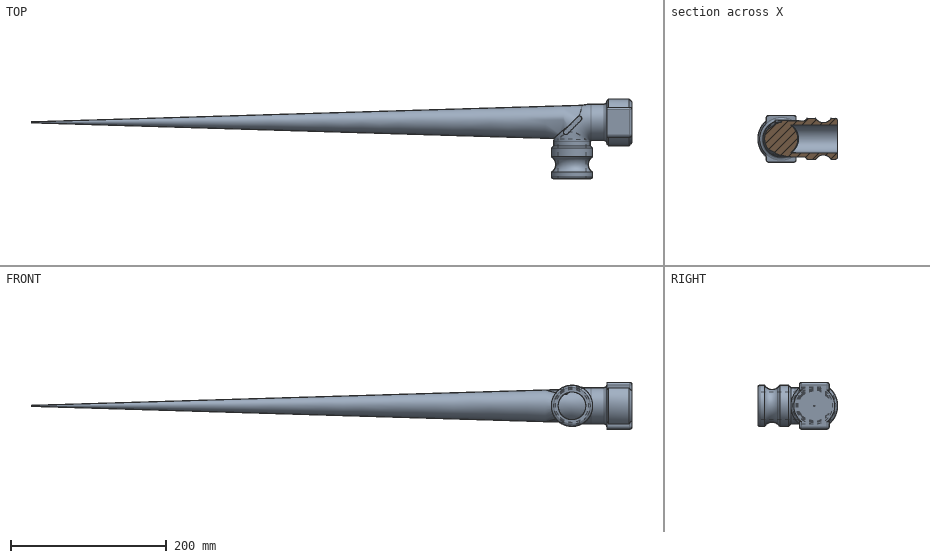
import cadquery as cq

LENGTH = 771.0
TIP_X = -LENGTH / 2
END_X = LENGTH / 2

SPIKE_TIP_DIA = 1.5
SPIKE_BASE_DIA = 45.0
SPIKE_END_X = 331.5

BRANCH_X = 308.0
PIPE_DIA = 47.0
BEND_RADIUS = 25.0

BRANCH_END_Y = -72.5
FLANGE_DIA = 53.0
NECK_DIA = 42.5
BORE_DIA = 35.5
COLLAR_TOP_Y = -30.0
COLLAR_BOTTOM_Y = -47.0
COLLAR_CHAMFER = 3.0
RIM_FILLET = 3.0
RIM_TOP_Y = -64.0

CAP_X = 353.0
CAP_DIA = 60.0
CAP_NECK_FILLET = 4.0
CAP_CHAMFER = 4.0
CAP_REAR_CHAMFER = 2.0
PAD_WIDTH = 38.5
PAD_HEIGHT = 60.0
PAD_FILLET = 3.0

RIB_LENGTH = 31.0
RIB_WIDTH = 6.0
RIB_TOP_Z = 24.0
RIB_CENTER = (309.0, -4.0)
RIB_ANGLE = 45


def make_spike():
    """Solid taper from the tip into the far side of the bend."""
    outline = [
        (TIP_X, 0),
        (TIP_X, SPIKE_TIP_DIA / 2),
        (SPIKE_END_X, SPIKE_BASE_DIA / 2),
        (SPIKE_END_X, 0),
    ]
    return cq.Workplane("XY").polyline(outline).close().revolve(360, (0, 0, 0), (1, 0, 0))


def make_elbow():
    """Quarter bend from the branch to the straight pipe, plus the pipe up to the cap."""
    bend_end_x = BRANCH_X + BEND_RADIUS
    bend = (
        cq.Workplane("XZ", origin=(BRANCH_X, -BEND_RADIUS, 0))
        .circle(PIPE_DIA / 2)
        .revolve(90, (BEND_RADIUS, 0, 0), (BEND_RADIUS, -1, 0))
    )
    pipe = cq.Workplane("YZ", origin=(bend_end_x, 0, 0)).circle(PIPE_DIA / 2).extrude(CAP_X - bend_end_x)
    return bend.union(pipe)


def make_branch():
    """Turned coupling with a collar, a concave neck and an end rim."""
    flange_r = FLANGE_DIA / 2
    neck_r = NECK_DIA / 2
    pipe_r = PIPE_DIA / 2
    neck_middle = (COLLAR_BOTTOM_Y + RIM_TOP_Y) / 2
    return (
        cq.Workplane("XY", origin=(BRANCH_X, 0, 0))
        .moveTo(0, -BEND_RADIUS)
        .lineTo(pipe_r, -BEND_RADIUS)
        .lineTo(pipe_r, COLLAR_TOP_Y)
        .lineTo(flange_r, COLLAR_TOP_Y - COLLAR_CHAMFER)
        .lineTo(flange_r, COLLAR_BOTTOM_Y + COLLAR_CHAMFER)
        .lineTo(flange_r - COLLAR_CHAMFER, COLLAR_BOTTOM_Y)
        .threePointArc((neck_r, neck_middle), (flange_r, RIM_TOP_Y))
        .lineTo(flange_r, BRANCH_END_Y)
        .lineTo(0, BRANCH_END_Y)
        .close()
        .revolve(360, (0, 0, 0), (0, 1, 0))
        .faces("<Y").edges().fillet(RIM_FILLET)
    )


def make_cap():
    """Round cap with two flat wrench pads on its top and bottom."""
    length = END_X - CAP_X
    barrel = (
        cq.Workplane("YZ", origin=(CAP_X, 0, 0))
        .circle(CAP_DIA / 2)
        .extrude(length)
        .faces(">X").chamfer(CAP_CHAMFER)
        .faces("<X").chamfer(CAP_REAR_CHAMFER)
    )
    pads = (
        cq.Workplane("YZ", origin=(CAP_X, 0, 0))
        .rect(PAD_WIDTH, PAD_HEIGHT)
        .extrude(length)
        .edges("not <X").edges("|X or >X").fillet(PAD_FILLET)
    )
    return barrel.union(pads)


def make_cap_neck():
    """Concave fillet ring where the straight pipe meets the cap."""
    start_x = CAP_X - CAP_NECK_FILLET
    pipe_r = PIPE_DIA / 2
    outer_r = pipe_r + CAP_NECK_FILLET
    return (
        cq.Workplane("XY")
        .moveTo(start_x, 0)
        .lineTo(start_x, pipe_r)
        .radiusArc((CAP_X, outer_r), -CAP_NECK_FILLET)
        .lineTo(CAP_X, 0)
        .close()
        .revolve(360, (0, 0, 0), (1, 0, 0))
    )


def make_rib():
    """Round-ended rib standing on the top of the bend."""
    return (
        cq.Workplane("XY")
        .center(*RIB_CENTER)
        .transformed(rotate=(0, 0, RIB_ANGLE))
        .slot2D(RIB_LENGTH, RIB_WIDTH)
        .extrude(RIB_TOP_Z)
    )


def make_bore():
    """Drill for the branch, reaching from the rim to the main axis."""
    return cq.Workplane("XZ", origin=(BRANCH_X, 0, 0)).circle(BORE_DIA / 2).extrude(-BRANCH_END_Y)


body = make_elbow().union(make_branch()).cut(make_bore()).union(make_spike())
result = body.union(make_cap()).union(make_cap_neck()).union(make_rib())